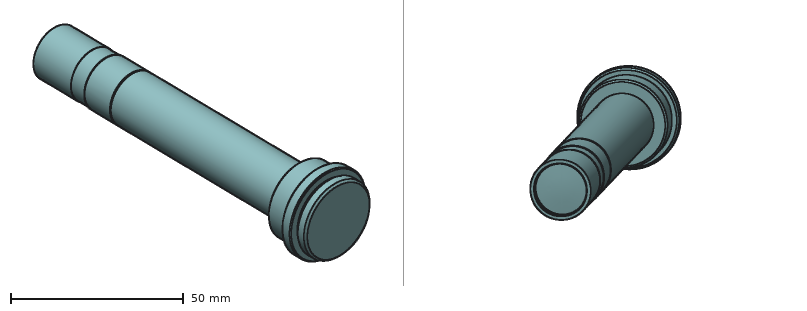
import cadquery as cq

length = 120.4

tube_radius = 9.0
tip_radius = 8.9
band_start = 16.0
band_end = 21.8
band_radius = 8.8
joint_groove_start = 32.7
joint_groove_width = 0.4
joint_groove_depth = 0.1

mouth_radius = 7.8
mouth_chamfer = 0.2
bore_radius = mouth_radius - mouth_chamfer
recess_depth = 1.8
dome_height = 0.5

head_start = 104.1
head_radius = 13.0
head_chamfer = 0.6
flange_start = 112.1
flange_end = 116.1
flange_radius = 14.99
flange_front_chamfer = 0.6
flange_back_chamfer = 0.4
neck_radius = 12.3
rim_start = 117.1
rim_chamfer = 0.7


def disc(start, end, radius):
    """Solid cylinder along X between two stations."""
    return cq.Workplane("YZ", origin=(start, 0, 0)).circle(radius).extrude(end - start)


def make_tube():
    tip = disc(0, band_start, tip_radius)
    band = disc(band_start, band_end, band_radius)
    tube = tip.union(band).union(disc(band_end, head_start, tube_radius))
    joint_groove_end = joint_groove_start + joint_groove_width
    groove = disc(joint_groove_start, joint_groove_end, tube_radius)
    groove_floor = disc(joint_groove_start, joint_groove_end, tube_radius - joint_groove_depth)
    return tube.cut(groove.cut(groove_floor))


def make_window_recess():
    """Chamfered bore whose floor bulges towards the open end."""
    dome_top = recess_depth - dome_height
    dome_radius = (bore_radius**2 + dome_height**2) / (2 * dome_height)
    half_radius = bore_radius / 2
    half_x = dome_top + dome_radius - (dome_radius**2 - half_radius**2) ** 0.5
    return (
        cq.Workplane("XY")
        .moveTo(0, 0)
        .lineTo(0, mouth_radius)
        .lineTo(mouth_chamfer, bore_radius)
        .lineTo(recess_depth, bore_radius)
        .threePointArc((half_x, half_radius), (dome_top, 0))
        .close()
        .revolve(360, (0, 0, 0), (1, 0, 0))
    )


def make_head():
    body = disc(head_start, flange_start, head_radius).edges("<X").chamfer(head_chamfer)
    flange = disc(flange_start, flange_end, flange_radius)
    flange = flange.edges("<X").chamfer(flange_front_chamfer)
    flange = flange.edges(">X").chamfer(flange_back_chamfer)
    neck = disc(flange_end, rim_start, neck_radius)
    rim = disc(rim_start, length, head_radius).edges(">X").chamfer(rim_chamfer)
    return body.union(flange).union(neck).union(rim)


result = make_tube().union(make_head()).cut(make_window_recess())